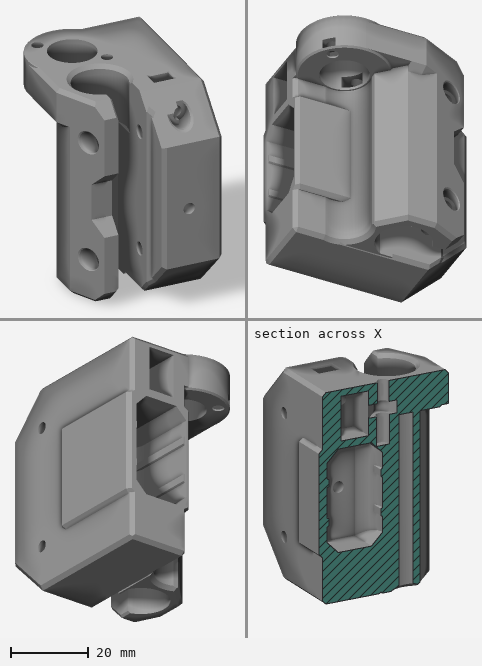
import cadquery as cq
import math

height = 58.0
length = 51.5
depth = 38.1
chamfer = 1.05
fine_chamfer = 0.3

flange_radius = 12.45
flange_bottom = 47.95
flange_top_chamfer = 0.2
flange_bottom_chamfer = 0.45
shoulder_reach = 0.5
shoulder_bottom = flange_bottom + flange_bottom_chamfer
rod_x = flange_radius
rod_y = flange_radius
rod_hole_diameter = 13.0
rod_clearance_radius = 7.0

block_left = 1.4
block_front = 19.15
block_back = depth - chamfer
block_mid_y = 27.5
step_x = 43.3
step = chamfer
pad_chamfer = 0.8
corner_cut = 11.35

raise_bottom = 12.9
raise_top = 42.6
front_raise = block_front - 1.3
front_raise_end = rod_x + math.sqrt(rod_clearance_radius**2 - (front_raise - rod_y) ** 2)
back_raise_end = 30.5

bore_x = 29.4
bore_y = rod_y
bore_radius = 7.55
bore_ledge_z = raise_top
slot_front = 10.95
clamp_front = 2.0
clamp_left = 19.0
clamp_bevel = 6.5
clamp_right = 43.95
clamp_tip_y = 7.0
slope_start_x = 29.75
slope = clamp_tip_y / (clamp_right - slope_start_x)
clamp_inner_chamfer = 0.6
window_half_inner = 5.1
window_depth = 3.8

screw_diameter = 3.2
clearance_diameter = 3.7
head_diameter = 5.8
clamp_screw_x = 39.2
clamp_screw_offset = 16.95
clamp_screw_heights = [height / 2 - clamp_screw_offset, height / 2 + clamp_screw_offset]
clamp_screw_seat_y = 8.1
tension_screw_z = 52.0
tension_seat_x = length - corner_cut + 0.6
recess_chamfer = 0.5

rod_screw_reach = 9.5
rod_screw_depth = 17.4
nut_across_flats = 5.9
nut_slot_width = 5.7
nut_slot_top = 51.05
inner_slot_bottom = 48.7
inner_slot_top = 52.15
square_nut_left = 32.6
square_nut_length = 4.0
square_nut_width = 5.6
square_nut_bottom = 49.2
square_nut_mouth = 0.5

slider_width = 7.9
slider_bottom = 43.95
slider_top = 56.1
slider_end = 26.7
pulley_width = 16.1
pulley_bottom = 13.6
pulley_top = 41.75
pulley_corner = 3.2
pulley_end = 27.85
pulley_curve_radius = 13.65
rib_height = 0.5
rib_base = 2.5
rib_inset = 0.6
rib_spacing = 10.75


def box(x0, x1, y0, y1, z0, z1):
    """Box given by its limits along each axis."""
    return cq.Workplane("XY").box(x1 - x0, y1 - y0, z1 - z0, centered=False).translate((x0, y0, z0))


def prism(points, z0, z1):
    """Upright prism over an outline in X and Y."""
    return cq.Workplane("XY").workplane(offset=z0).polyline(points).close().extrude(z1 - z0)


def cylinder(x, y, radius, z0, z1):
    """Upright cylinder."""
    return cq.Workplane("XY").workplane(offset=z0).center(x, y).circle(radius).extrude(z1 - z0)


def cylinder_y(x, z, diameter, y0, y1):
    """Cylinder along +Y."""
    direction = cq.Vector(0, 1, 0)
    return cq.Workplane(cq.Solid.makeCylinder(diameter / 2, y1 - y0, cq.Vector(x, y0, z), direction))


def cylinder_x(y, z, diameter, x0, x1):
    """Cylinder along +X."""
    direction = cq.Vector(1, 0, 0)
    return cq.Workplane(cq.Solid.makeCylinder(diameter / 2, x1 - x0, cq.Vector(x0, y, z), direction))


def cut_right_corners(solid):
    """Trim the upper and lower right corners at 45 degrees."""
    outline = [
        (-0.6, 0),
        (length - corner_cut, 0),
        (length, corner_cut),
        (length, height - corner_cut),
        (length - corner_cut, height),
        (-0.6, height),
    ]
    keep = cq.Workplane("XZ").polyline(outline).close().extrude(-depth)
    return solid.intersect(keep)


def chamfer_where(solid, test, size):
    """Chamfer every edge whose centre passes the test."""
    picked = [edge for edge in solid.edges().vals() if test(edge.Center())]
    return solid.newObject(picked).chamfer(size)


def near(value, target):
    return abs(value - target) < 0.005


def make_block():
    """Main block with its stepped right end and chamfered rims."""
    end_front = block_front + step
    slope_left = length - corner_cut

    end = cut_right_corners(box(rod_x, length, end_front, block_back, 0, height))
    end = chamfer_where(end, lambda c: near(c.y, end_front) and c.x > slope_left, chamfer)

    end = end.cut(cylinder_x(block_mid_y, tension_screw_z, head_diameter, tension_seat_x, length))

    def on_recess_rim(c):
        on_axis = near(c.y, block_mid_y) and abs(c.z - tension_screw_z) < head_diameter / 2
        return on_axis and c.x > tension_seat_x + 0.6

    end = chamfer_where(end, on_recess_rim, recess_chamfer)

    pad_outline = [
        (block_left, block_front),
        (step_x, block_front),
        (step_x + 2 * step, block_front + 2 * step),
        (step_x + 2 * step, block_mid_y),
        (step_x, block_mid_y),
        (step_x, block_back),
        (block_left, block_back),
    ]
    pad = cut_right_corners(prism(pad_outline, 0, height))

    def on_pad_slope(c):
        on_slope = near(abs(c.z - height / 2) + c.x, height / 2 + slope_left)
        return on_slope and c.x > slope_left and c.y < block_front + 2 * step - 0.005

    pad = chamfer_where(pad, on_pad_slope, pad_chamfer)

    shoulder = box(block_left, rod_x, block_front - shoulder_reach, block_mid_y, shoulder_bottom, height)
    block = end.union(pad).union(shoulder)

    def on_left_rim(c):
        on_left = near(c.x, block_left) and c.y < block_back - chamfer - 0.005
        on_shoulder = near(c.z, shoulder_bottom) or (c.y < block_front - 0.005 and c.z > shoulder_bottom)
        on_base_front = near(c.z, 0) and near(c.y, block_front) and c.x < step_x
        return (on_left and not on_shoulder) or on_base_front

    block = chamfer_where(block, lambda c: near(c.y, block_back), chamfer)
    return chamfer_where(block, on_left_rim, chamfer)


def make_raised_walls():
    """Thickened walls in front of and behind the pulley pocket."""

    def on_end_rim(c):
        return near(c.z, raise_bottom) or near(c.z, raise_top)

    front = box(block_left, front_raise_end, front_raise, block_mid_y, raise_bottom, raise_top)
    front = front.edges("|Z and <X and <Y").chamfer(chamfer)
    front = chamfer_where(front, lambda c: on_end_rim(c) and c.y < front_raise + chamfer, chamfer)
    back = box(block_left, back_raise_end, block_mid_y, depth, raise_bottom, raise_top)
    back = back.edges("|Z and >Y").chamfer(chamfer)
    back = chamfer_where(back, lambda c: on_end_rim(c) and c.y > depth - chamfer, chamfer)
    return front.union(back)


def make_clamp():
    """Clamp body from the base to the top, with the flange plate overhanging its front."""
    plate_outline = [
        (rod_x, 0),
        (slope_start_x, 0),
        (clamp_right, clamp_tip_y),
        (clamp_right, block_front + 0.6),
        (rod_x, block_front + 0.6),
    ]
    body_outline = [
        (rod_x, block_front + 0.6),
        (rod_x, rod_y),
        (clamp_left, rod_y),
        (clamp_left, clamp_front + clamp_bevel),
        (clamp_left + clamp_bevel, clamp_front),
        (slope_start_x + clamp_front / slope, clamp_front),
        (clamp_right, clamp_tip_y),
        (clamp_right, block_front + 0.6),
    ]
    plate = prism(plate_outline, shoulder_bottom, height)
    body = prism(body_outline, 0, height)

    support = cq.Workplane("XY").workplane(offset=shoulder_bottom).polyline(plate_outline).close()
    support = support.extrude(-clamp_front, taper=45)
    support = support.intersect(box(clamp_left + clamp_bevel, length, 0, block_front, 0, height))

    slot = box(bore_x, length, slot_front, depth, 0, height)
    clamp = cut_right_corners(plate.union(body).union(support).cut(slot))

    def on_front_rim(c):
        on_top = near(c.z, height) and c.x < length - corner_cut - 0.6
        on_base = near(c.z, 0) and c.x < length - corner_cut - 0.6
        return (on_top and c.y < slot_front / 2) or (on_base and c.y < rod_y - 2.9)

    def on_slot_rim(c):
        on_slope = near(abs(c.z - height / 2) + c.x, height / 2 + length - corner_cut)
        return near(c.y, slot_front) and (near(abs(c.z - height / 2), height / 2) or on_slope)

    def on_seat_rim(c):
        at_screw = abs(abs(c.z - height / 2) - clamp_screw_offset) < head_diameter / 2
        return at_screw and abs(c.x - clamp_screw_x) < head_diameter / 2 and c.y < clamp_tip_y

    clamp = chamfer_where(clamp, on_front_rim, chamfer)
    clamp = chamfer_where(clamp, on_slot_rim, clamp_inner_chamfer)
    clamp = clamp.cut(make_clamp_window())
    for z in clamp_screw_heights:
        clamp = clamp.cut(cylinder_y(clamp_screw_x, z, head_diameter, 0, clamp_screw_seat_y))
    return chamfer_where(clamp, on_seat_rim, fine_chamfer)


def make_flange():
    """Round flange that carries the upright rod."""
    flange = cylinder(rod_x, rod_y, flange_radius, flange_bottom, height)
    flange = flange.faces(">Z").edges().chamfer(flange_top_chamfer)
    return flange.faces("<Z").edges().chamfer(flange_bottom_chamfer)


def make_rod_clearance():
    """Round recess below the flange, flared at the base."""
    recess = cylinder(rod_x, rod_y, rod_clearance_radius, 0, flange_bottom)
    flare = cq.Workplane(cq.Solid.makeCone(
        rod_clearance_radius + chamfer, rod_clearance_radius, chamfer, cq.Vector(rod_x, rod_y, 0)
    ))
    return recess.union(flare)


def make_clamp_bore():
    """Clamp bore with a flared mouth; its back is flattened beside the pulley pocket."""
    bore = cylinder(bore_x, bore_y, bore_radius, bore_ledge_z, height)
    lower = cylinder(bore_x, bore_y, bore_radius, 0, bore_ledge_z)
    lower = lower.intersect(box(0, length, 0, block_front, 0, height))
    mouth = cq.Workplane(cq.Solid.makeCone(
        bore_radius, bore_radius + chamfer, chamfer, cq.Vector(bore_x, bore_y, height - chamfer)
    ))
    return bore.union(lower).union(mouth)


def make_clamp_window():
    """Tapered notch through the free edge of the clamp arm."""
    outline = [
        (clamp_right - window_depth, height / 2 - window_half_inner),
        (clamp_right, height / 2 - window_half_inner - window_depth),
        (clamp_right + 0.6, height / 2 - window_half_inner - window_depth),
        (clamp_right + 0.6, height / 2 + window_half_inner + window_depth),
        (clamp_right, height / 2 + window_half_inner + window_depth),
        (clamp_right - window_depth, height / 2 + window_half_inner),
    ]
    return cq.Workplane("XZ").polyline(outline).close().extrude(-slot_front - 0.6)


def make_clamp_screw(z):
    """Clamp screw hole: clearance in the arm, narrower and countersunk in the block."""
    clearance = cylinder_y(clamp_screw_x, z, clearance_diameter, 0, slot_front + 0.6)
    hole = cylinder_y(clamp_screw_x, z, screw_diameter, 0, depth)
    hole_mouth = cq.Workplane(cq.Solid.makeCone(
        screw_diameter / 2 + fine_chamfer,
        screw_diameter / 2,
        fine_chamfer,
        cq.Vector(clamp_screw_x, block_front, z),
        cq.Vector(0, 1, 0),
    ))
    return clearance.union(hole).union(hole_mouth)


def make_rod_screws():
    """Two screws across the rod hole with their nut traps below the flange top."""
    offset = rod_screw_reach / math.sqrt(2)
    outer = cylinder(rod_x - offset, rod_y - offset, screw_diameter / 2, 0, height)
    hexagon = cq.Workplane("XY").polygon(6, nut_across_flats / math.cos(math.pi / 6))
    trap = hexagon.extrude(nut_slot_top - shoulder_bottom).rotate((0, 0, 0), (0, 0, 1), -45)
    trap = trap.translate((rod_x - offset, rod_y - offset, shoulder_bottom))

    inner = cylinder(rod_x + offset, rod_y + offset, screw_diameter / 2, height - rod_screw_depth, height)
    relief = cylinder(
        rod_x + offset, rod_y + offset, clearance_diameter / 2, height - rod_screw_depth, inner_slot_top
    )
    slot_reach = rod_screw_reach + nut_slot_width / 2
    slot = box(0, slot_reach, -nut_slot_width / 2, nut_slot_width / 2, inner_slot_bottom, inner_slot_top)
    slot = slot.rotate((0, 0, 0), (0, 0, 1), 45).translate((rod_x, rod_y, 0))
    return outer.union(trap).union(inner).union(relief).union(slot)


def make_tension_screw():
    """Tension screw hole along X and the square nut pocket that crosses it."""
    screw = cylinder_x(block_mid_y, tension_screw_z, screw_diameter, 0, length)
    nut = box(
        square_nut_left,
        square_nut_left + square_nut_length,
        block_mid_y - square_nut_width / 2,
        block_mid_y + square_nut_width / 2,
        square_nut_bottom,
        height,
    )
    mouth = (
        cq.Workplane("XY", origin=(square_nut_left + square_nut_length / 2, block_mid_y, height))
        .rect(square_nut_length + 2 * square_nut_mouth, square_nut_width + 2 * square_nut_mouth)
        .extrude(-square_nut_mouth, taper=45)
    )
    return screw.union(nut).union(mouth)


def make_slider_pocket():
    half = slider_width / 2
    return box(0, slider_end, block_mid_y - half, block_mid_y + half, slider_bottom, slider_top)


def make_pulley_pocket():
    """Octagonal pocket with a rounded inner end and two guide ribs along each side wall."""
    half = pulley_width / 2
    pocket = box(0, pulley_end, block_mid_y - half, block_mid_y + half, pulley_bottom, pulley_top)
    pocket = pocket.edges("|X").chamfer(pulley_corner)

    end_half = half - pulley_corner
    curve_length = math.sqrt(pulley_curve_radius**2 - (pulley_curve_radius - pulley_corner) ** 2)
    curve_start = pulley_end - curve_length
    plan = (
        cq.Workplane("XY")
        .workplane(offset=pulley_bottom)
        .moveTo(0, block_mid_y - half)
        .lineTo(curve_start, block_mid_y - half)
        .radiusArc((pulley_end, block_mid_y - end_half), -pulley_curve_radius)
        .lineTo(pulley_end, block_mid_y + end_half)
        .radiusArc((curve_start, block_mid_y + half), -pulley_curve_radius)
        .lineTo(0, block_mid_y + half)
        .close()
    )
    pocket = pocket.intersect(plan.extrude(pulley_top - pulley_bottom))

    mid_z = (pulley_bottom + pulley_top) / 2
    for side in (-1, 1):
        for z in (mid_z - rib_spacing / 2, mid_z + rib_spacing / 2):
            wall = block_mid_y + side * half
            crest = wall - side * rib_height
            profile = [
                (wall, z - rib_base / 2),
                (crest, z - rib_base / 2 + fine_chamfer),
                (crest, z + rib_base / 2 - fine_chamfer),
                (wall, z + rib_base / 2),
            ]
            rib = cq.Workplane("YZ").workplane(offset=block_left + rib_inset).polyline(profile).close()
            pocket = pocket.cut(rib.extrude(pulley_end))
    screw = cylinder_x(block_mid_y, mid_z, screw_diameter, 0, length)
    return pocket.union(screw)


result = make_clamp().union(make_block())
result = result.cut(make_rod_clearance())
result = result.union(make_raised_walls()).union(make_flange())
result = result.cut(cylinder(rod_x, rod_y, rod_hole_diameter / 2, flange_bottom, height))
result = result.cut(make_clamp_bore())
for screw_z in clamp_screw_heights:
    result = result.cut(make_clamp_screw(screw_z))
result = result.cut(make_rod_screws()).cut(make_tension_screw())
result = result.cut(make_slider_pocket()).cut(make_pulley_pocket())